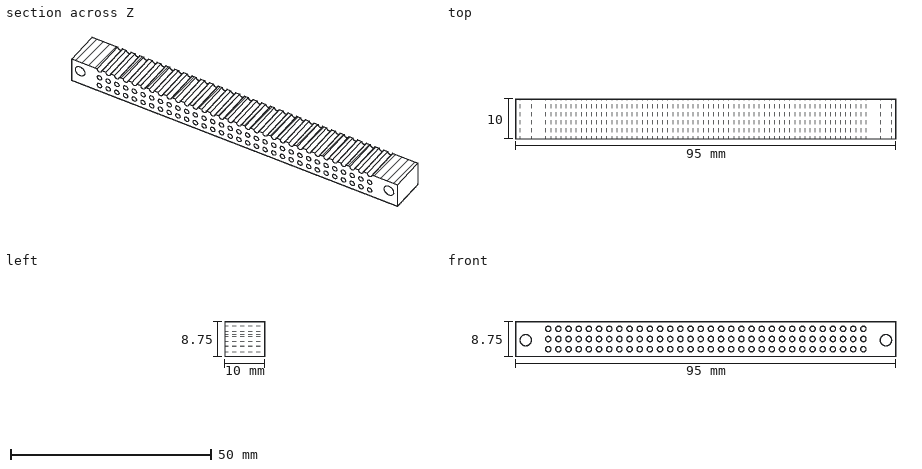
import cadquery as cq

length = 95.0
depth = 10.0
height = 8.75

contact_columns = 32
contact_rows = 3
contact_pitch = 2.54
contact_diameter = 1.3

mount_spacing = 90.0
mount_diameter = 2.8
mount_drop = 0.3


def make_body():
    return cq.Workplane("XY").box(length, depth, height)


def front_face(body):
    """Sketch plane on the -Y face: local x is +X, local y is +Z."""
    return body.faces("<Y").workplane(centerOption="CenterOfBoundBox")


def cut_contact_holes(body):
    grid = front_face(body).rarray(contact_pitch, contact_pitch, contact_columns, contact_rows)
    return grid.circle(contact_diameter / 2).cutThruAll()


def cut_mounting_holes(body):
    centres = [(side * mount_spacing / 2, -mount_drop) for side in (-1, 1)]
    return front_face(body).pushPoints(centres).circle(mount_diameter / 2).cutThruAll()


result = cut_mounting_holes(cut_contact_holes(make_body()))